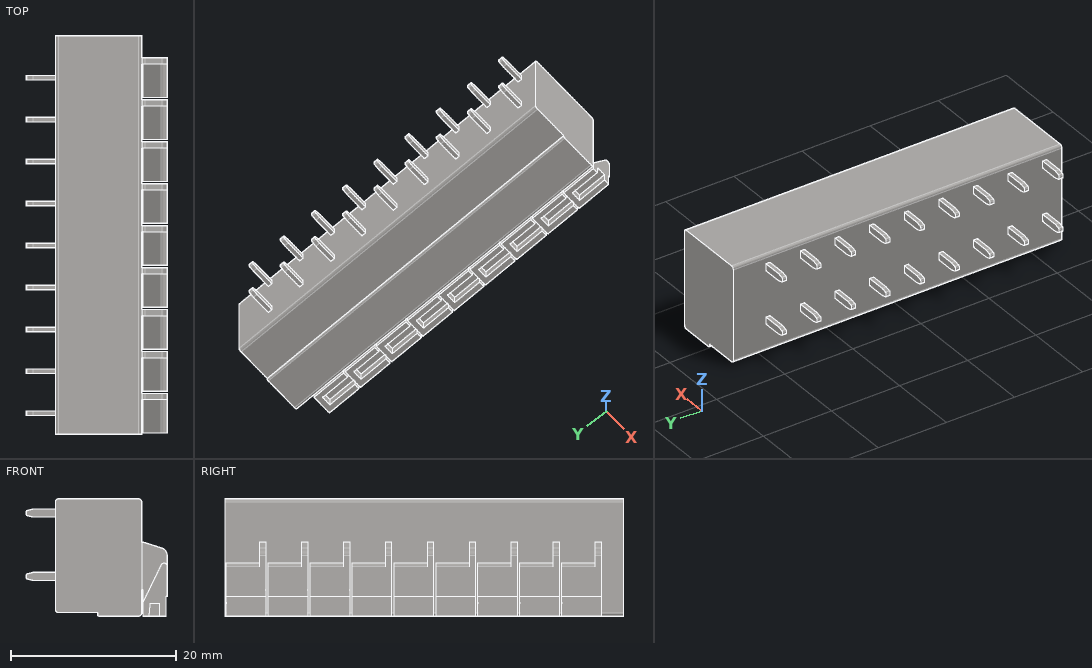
import cadquery as cq

pole_count = 9
body_length = 48.25
pitch = body_length / (pole_count + 0.5)
body_width = 10.45
total_height = 14.25
edge_radius = 0.4

pad_height = 0.45
pad_start_x = 5.1
pad_edge_radius = 0.2

pin_length = 3.5
pin_thickness = 0.6
pin_height = 1.0
pin_taper_length = 0.8
pin_tip_height = 0.6
pin_tip_radius = 0.2
pin_root_x = 0.25
pin_levels = (4.85, 12.5)

total_width = 17.1
lever_width = 4.85
lever_outer_x = total_width - pin_length
lever_top_z = 9.0
lever_crest_length = 0.25
lever_shoulder_z = 8.05
lever_wall_radius = 0.95
lever_foot_z = 2.4
lever_foot_inset = 0.15
lever_wall = 0.75

slit_width = 0.15
slit_top_z = 3.2

ramp_bottom_z = 1.7
ramp_apex_z = 7.7
ramp_apex_radius = 0.4

notch_left_x = 11.35
notch_right_x = 12.65
notch_top_z = 1.55
notch_draft = 0.15


def extrude_along_y(points, start_y, length):
    """Extrude a closed XZ outline towards +Y from start_y."""
    return cq.Workplane("XZ", origin=(0, start_y, 0)).polyline(points).close().extrude(-length)


def edge_near(solid, x, z):
    """Select the edge parallel to Y that passes closest to (x, z)."""
    middle_y = solid.val().Center().y
    return solid.edges("|Y").edges(cq.selectors.NearestToPointSelector((x, middle_y, z)))


def make_body():
    outline = [
        (0, pad_height),
        (pad_start_x, pad_height),
        (pad_start_x, 0),
        (body_width, 0),
        (body_width, total_height),
        (0, total_height),
    ]
    body = extrude_along_y(outline, 0, body_length)
    body = body.edges("|Y and (<X or >X)").fillet(edge_radius)
    return edge_near(body, pad_start_x, 0).fillet(pad_edge_radius)


def make_pin(center_y, center_z):
    half_height = pin_height / 2
    half_tip = pin_tip_height / 2
    taper_x = pin_taper_length - pin_length
    outline = [
        (pin_root_x, center_z - half_height),
        (pin_root_x, center_z + half_height),
        (taper_x, center_z + half_height),
        (-pin_length, center_z + half_tip),
        (-pin_length, center_z - half_tip),
        (taper_x, center_z - half_height),
    ]
    pin = extrude_along_y(outline, center_y - pin_thickness / 2, pin_thickness)
    return pin.edges("|Y and <X").fillet(pin_tip_radius)


def make_lever(center_y):
    start_y = center_y - lever_width / 2
    inner_x = body_width + slit_width
    foot_x = lever_outer_x - lever_foot_inset
    crest_x = body_width + lever_crest_length
    block_width = lever_width - lever_wall

    wall_outline = [
        (inner_x, 0),
        (foot_x, 0),
        (foot_x, lever_foot_z),
        (lever_outer_x, lever_foot_z),
        (lever_outer_x, lever_shoulder_z),
        (crest_x, lever_top_z),
        (body_width, lever_top_z),
        (body_width, slit_top_z),
        (inner_x, slit_top_z),
    ]
    wall = extrude_along_y(wall_outline, start_y + block_width, lever_wall)
    wall = edge_near(wall, lever_outer_x, lever_shoulder_z).fillet(lever_wall_radius)
    wall = edge_near(wall, crest_x, lever_top_z).fillet(lever_wall_radius)

    block_outline = [
        (inner_x, 0),
        (foot_x, 0),
        (foot_x, lever_foot_z),
        (lever_outer_x, lever_foot_z),
        (lever_outer_x, ramp_apex_z),
        (inner_x, ramp_bottom_z),
    ]
    block = extrude_along_y(block_outline, start_y, block_width)
    block = edge_near(block, lever_outer_x, ramp_apex_z).fillet(ramp_apex_radius)

    notch_outline = [
        (notch_left_x, 0),
        (notch_right_x, 0),
        (notch_right_x, notch_top_z),
        (notch_left_x + notch_draft, notch_top_z),
    ]
    notch = extrude_along_y(notch_outline, start_y, block_width)
    return wall.union(block).cut(notch)


result = make_body()
for pole in range(pole_count):
    pole_y = (pole + 0.5) * pitch
    result = result.union(make_lever(pole_y))
    for level in pin_levels:
        result = result.union(make_pin(pole_y, level))